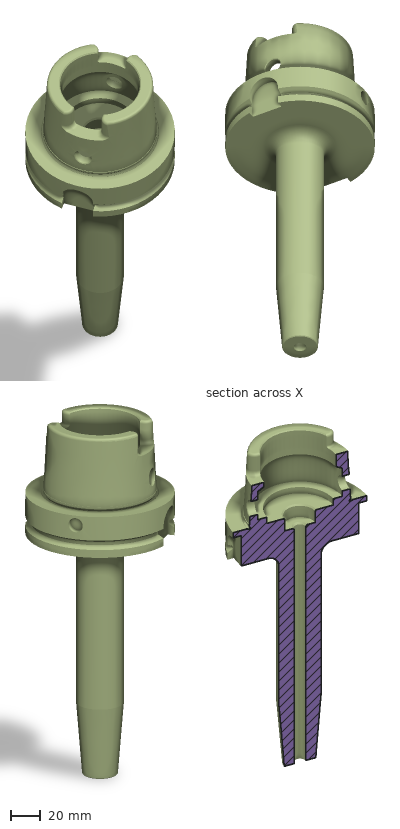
import cadquery as cq
import math


shank_height = 50.0
taper_per_length = 0.05
taper_base_radius = 38.0
collar_radius = 38.2
collar_top = 2.7
collar_bottom = 1.2
relief_depth = 0.5
relief_root_radius = 37.0
relief_outer_radius = 39.5
rim_round = 2.0

flange_radius = 50.0
flange_height = 29.0
groove_top = 16.7
groove_width = 6.7
groove_floor_radius = 46.2
groove_flank_slope = math.tan(math.radians(30))

total_length = 250.0
shaft_radius = 16.0
shaft_fillet = 8.0
nose_radius = 12.0
nose_half_angle = math.radians(4.5)
nose_chamfer = 0.5

bore_radius = 26.7
bore_straight_bottom = 30.0
undercut_radius = 31.5
undercut_bottom = 5.0
shoulder_slope = math.tan(math.radians(30))
bore_floor_radius = 24.7
bore_floor = 0.0
bore_rim_chamfer = 0.7
tube_seat_radius = 11.2
tube_seat_depth = 10.0
tube_seat_chamfer = 1.0
coolant_radius = 4.2
coolant_chamfer = 1.2

slot_half_width = 10.0
slot_mouth_offset = 32.0
slot_wall_round = 5.5
front_slot_fillet = 3.0
rear_slot_fillet = 1.5
front_slot_floor = 33.7
rear_slot_floor = 40.0

cross_hole_radius = 5.7
cross_hole_chamfer = 0.5
cross_hole_height = 15.0
key_slot_half_width = 11.0
key_slot_top = 4.5
key_slot_floor_offset = 44.0
chip_hole_radius = 5.0
chip_hole_depth = 4.5
chip_hole_drop = 6.7

bottom = shank_height - total_length
top_radius = taper_base_radius - taper_per_length * shank_height


def make_body():
    """Revolve the outside: nose, shaft, flange, relief, collar and taper."""
    nose_top = bottom + (shaft_radius - nose_radius) / math.tan(nose_half_angle)
    flank = (flange_radius - groove_floor_radius) * groove_flank_slope
    groove_bottom = groove_top + groove_width
    taper_end_radius = taper_base_radius - taper_per_length * collar_top
    fillet_end = -flange_height - shaft_fillet
    fillet_offset = shaft_fillet * (1 - math.sqrt(0.5))
    rim_inset = rim_round * (1 - math.sqrt(0.5))
    return (
        cq.Workplane("XZ")
        .moveTo(0, bottom)
        .lineTo(nose_radius - nose_chamfer, bottom)
        .lineTo(nose_radius, bottom + nose_chamfer)
        .lineTo(shaft_radius, nose_top)
        .lineTo(shaft_radius, fillet_end)
        .threePointArc(
            (shaft_radius + fillet_offset, -flange_height - fillet_offset),
            (shaft_radius + shaft_fillet, -flange_height),
        )
        .lineTo(flange_radius, -flange_height)
        .lineTo(flange_radius, -groove_bottom)
        .lineTo(groove_floor_radius, flank - groove_bottom)
        .lineTo(groove_floor_radius, -groove_top - flank)
        .lineTo(flange_radius, -groove_top)
        .lineTo(flange_radius, 0)
        .lineTo(relief_outer_radius, 0)
        .lineTo(relief_outer_radius - relief_depth, -relief_depth)
        .lineTo(relief_root_radius, -relief_depth)
        .lineTo(collar_radius, collar_bottom)
        .lineTo(collar_radius, collar_top)
        .lineTo(taper_end_radius, collar_top)
        .lineTo(top_radius, shank_height - rim_round)
        .threePointArc(
            (top_radius - rim_inset, shank_height - rim_inset),
            (top_radius - rim_round, shank_height),
        )
        .lineTo(0, shank_height)
        .close()
        .revolve(360, (0, 0, 0), (0, 1, 0))
    )


def make_bore():
    """Revolve the hollow of the shank, the tube seat and the coolant hole."""
    shoulder_bottom = bore_straight_bottom - (undercut_radius - bore_radius) * shoulder_slope
    seat_floor = bore_floor - tube_seat_depth
    return (
        cq.Workplane("XZ")
        .moveTo(0, bottom)
        .lineTo(coolant_radius, bottom)
        .lineTo(coolant_radius, seat_floor - coolant_chamfer)
        .lineTo(coolant_radius + coolant_chamfer, seat_floor)
        .lineTo(tube_seat_radius, seat_floor)
        .lineTo(tube_seat_radius, bore_floor - tube_seat_chamfer)
        .lineTo(tube_seat_radius + tube_seat_chamfer, bore_floor)
        .lineTo(bore_floor_radius, bore_floor)
        .lineTo(bore_floor_radius, undercut_bottom)
        .lineTo(undercut_radius, undercut_bottom)
        .lineTo(undercut_radius, shoulder_bottom)
        .lineTo(bore_radius, bore_straight_bottom)
        .lineTo(bore_radius, shank_height - bore_rim_chamfer)
        .lineTo(bore_radius + bore_rim_chamfer, shank_height)
        .lineTo(0, shank_height)
        .close()
        .revolve(360, (0, 0, 0), (0, 1, 0))
    )


def make_drive_slot(side, floor, foot_fillet):
    """Cutter for a drive slot on the +Y (side = 1) or -Y (side = -1) wall."""
    shoulder = slot_mouth_offset - slot_wall_round
    flare = slot_half_width + slot_wall_round
    bulge = slot_wall_round * (1 - math.sqrt(0.5))
    cutter = (
        cq.Workplane("XY", origin=(0, 0, floor))
        .moveTo(-slot_half_width, 0)
        .lineTo(-slot_half_width, side * shoulder)
        .threePointArc(
            (-slot_half_width - bulge, side * (slot_mouth_offset - bulge)),
            (-flare, side * slot_mouth_offset),
        )
        .lineTo(-flange_radius, side * slot_mouth_offset)
        .lineTo(-flange_radius, side * flange_radius)
        .lineTo(flange_radius, side * flange_radius)
        .lineTo(flange_radius, side * slot_mouth_offset)
        .lineTo(flare, side * slot_mouth_offset)
        .threePointArc(
            (slot_half_width + bulge, side * (slot_mouth_offset - bulge)),
            (slot_half_width, side * shoulder),
        )
        .lineTo(slot_half_width, 0)
        .close()
        .extrude(shank_height)
    )
    wall_feet = cutter.faces("<Z").edges(
        cq.selectors.BoxSelector(
            (-flange_radius, side * slot_half_width, floor - foot_fillet),
            (flange_radius, side * top_radius, floor + foot_fillet),
        )
    )
    return wall_feet.fillet(foot_fillet)


def make_key_slot():
    """Cutter for a round-topped key slot through the lower flange on -Y."""
    arc_centre = -key_slot_top - key_slot_half_width
    return (
        cq.Workplane("XZ", origin=(0, -key_slot_floor_offset, 0))
        .moveTo(-key_slot_half_width, -flange_height)
        .lineTo(-key_slot_half_width, arc_centre)
        .threePointArc((0, -key_slot_top), (key_slot_half_width, arc_centre))
        .lineTo(key_slot_half_width, -flange_height)
        .close()
        .extrude(flange_radius)
    )


def drill_cross_hole(part):
    """Cut the hole through both shank walls along Y and chamfer its outer mouths."""
    hole = (
        cq.Workplane("XZ", origin=(0, flange_radius, cross_hole_height))
        .circle(cross_hole_radius)
        .extrude(2 * flange_radius)
    )
    part = part.cut(hole)
    for side in (-1, 1):
        mouth = cq.selectors.BoxSelector(
            (-cross_hole_radius, side * top_radius, cross_hole_height - cross_hole_radius),
            (cross_hole_radius, side * flange_radius, cross_hole_height + cross_hole_radius),
        )
        part = part.edges(mouth).chamfer(cross_hole_chamfer)
    return part


def make_chip_hole():
    """Cutter for the blind round hole in the -X side of the flange."""
    return (
        cq.Workplane("YZ", origin=(-flange_radius, 0, -chip_hole_drop))
        .circle(chip_hole_radius)
        .extrude(chip_hole_depth)
    )


def make_slotted_blank():
    """Plain cylinder around the part with both drive slots and their rounded top edges."""
    blank = (
        cq.Workplane("XY", origin=(0, 0, bottom))
        .circle(flange_radius)
        .extrude(total_length)
        .cut(make_drive_slot(-1, front_slot_floor, front_slot_fillet))
        .cut(make_drive_slot(1, rear_slot_floor, rear_slot_fillet))
    )
    return blank.faces(">Z").edges().fillet(rim_round)


body = make_body().intersect(make_slotted_blank()).cut(make_bore())

key_slot = make_key_slot()
for angle in (0, 180):
    body = body.cut(key_slot.rotate((0, 0, 0), (0, 0, 1), angle))

body = drill_cross_hole(body)
result = body.cut(make_chip_hole())